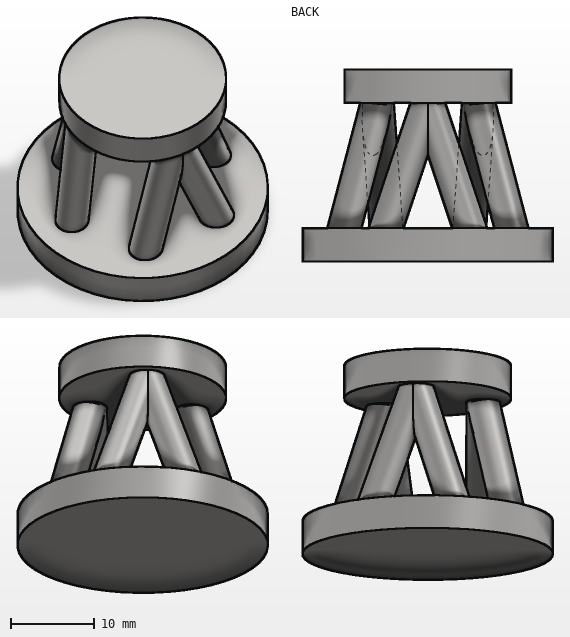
import cadquery as cq
import math

base_diameter = 30.0
platform_diameter = 20.0
total_height = 23.0
plate_gap = 15.0
plate_thickness = (total_height - plate_gap) / 2
platform_bottom = plate_thickness + plate_gap

leg_diameter = 4.0
foot_circle_radius = 10.0
joint_circle_radius = 7.0
joint_angles = (90, 210, 330)
foot_angle_offset = 30
leg_embed = 1.2


def point_on_circle(radius, angle, height):
    turn = math.radians(angle)
    return cq.Vector(radius * math.cos(turn), radius * math.sin(turn), height)


def make_disc(diameter, bottom):
    return cq.Workplane("XY").workplane(offset=bottom).circle(diameter / 2).extrude(plate_thickness)


def make_leg(foot, joint):
    """Inclined rod through two points on the plate faces, sunk into both plates."""
    direction = (joint - foot).normalized()
    start = foot - direction * leg_embed
    length = (joint - foot).Length + 2 * leg_embed
    return cq.Workplane(cq.Solid.makeCylinder(leg_diameter / 2, length, start, direction))


result = make_disc(base_diameter, 0).union(make_disc(platform_diameter, platform_bottom))

for joint_angle in joint_angles:
    joint = point_on_circle(joint_circle_radius, joint_angle, platform_bottom)
    for side in (-1, 1):
        foot_angle = joint_angle + side * foot_angle_offset
        foot = point_on_circle(foot_circle_radius, foot_angle, plate_thickness)
        result = result.union(make_leg(foot, joint))